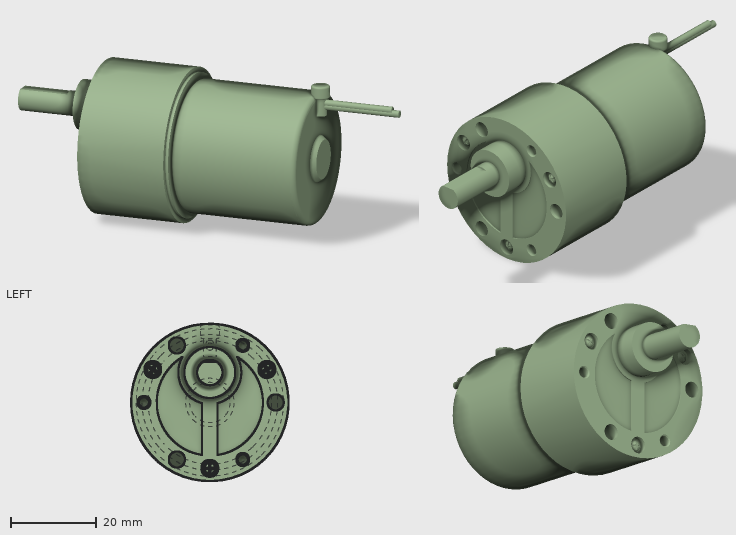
import cadquery as cq
import math


overall_length = 95.0

gearbox_diameter = 37.0
gearbox_length = 21.7
step_diameter = 34.7
step_length = 0.8
motor_diameter = 31.9
motor_length = 31.25
motor_front_fillet = 1.4
motor_rear_fillet = 1.2
motor_front = gearbox_length + step_length
motor_rear = motor_front + motor_length

bearing_base_diameter = 11.4
bearing_top_diameter = 9.5
bearing_height = 1.2

shaft_offset = 7.0
shaft_diameter = 6.0
shaft_reach = 20.9
flat_length = 11.9
flat_depth = 0.5
boss_diameter = 12.0
boss_length = 6.0

relief_diameter = 25.0
relief_depth = 0.4
collar_diameter = 14.8
rib_width = 3.7

bolt_circle_radius = 15.5
plain_hole_angles = (60, 180, 300)
tapped_hole_angles = (0, 120, 240)
screw_angles = (30, 150, 270)
plain_hole_diameter = 3.8
plain_hole_depth = 6.0
tapped_mouth_diameter = 3.0
tapped_core_diameter = 2.5
tapped_depth = 6.0
drill_point_angle = 118.0

screw_recess_diameter = 4.0
screw_recess_depth = 1.5
screw_rim_diameter = 3.0
screw_rim_height = 0.3
screw_dome_diameter = 2.7
screw_dome_height = 0.8
screw_slot_width = 0.4
screw_slot_depth = 0.4

terminal_x = 54.1
button_diameter = 4.5
button_bottom = 15.0
button_top = 18.1
button_fillet = 0.5
stem_diameter = 3.0
stem_bottom = 10.8
core_diameter = 1.7
core_end_stagger = 1.8
upper_core_z = 13.9
lower_core_z = 13.1
lower_core_end = overall_length - shaft_reach
upper_core_end = lower_core_end - core_end_stagger


def x_cylinder(diameter, start, end, y=0.0, z=0.0):
    """Cylinder along X between two X positions."""
    return cq.Workplane("YZ", origin=(start, y, z)).circle(diameter / 2).extrude(end - start)


def z_cylinder(diameter, x, bottom, top):
    """Cylinder along Z between two heights."""
    return cq.Workplane("XY", origin=(x, 0, bottom)).circle(diameter / 2).extrude(top - bottom)


def x_cone(start_diameter, end_diameter, start, end, y=0.0, z=0.0):
    """Cone or truncated cone along X."""
    solid = cq.Solid.makeCone(
        start_diameter / 2, end_diameter / 2, end - start, cq.Vector(start, y, z), cq.Vector(1, 0, 0)
    )
    return cq.Workplane(solid)


def on_bolt_circle(angle):
    """Y and Z of a bolt circle position, the angle measured from +Y toward +Z."""
    a = math.radians(angle)
    return bolt_circle_radius * math.cos(a), bolt_circle_radius * math.sin(a)


def make_motor():
    """Rounded can with the bearing cap on its rear face."""
    can = x_cylinder(motor_diameter, motor_front, motor_rear)
    can = can.faces("<X").edges().fillet(motor_front_fillet)
    can = can.faces(">X").edges().fillet(motor_rear_fillet)
    bearing = x_cone(
        bearing_base_diameter, bearing_top_diameter, motor_rear, motor_rear + bearing_height
    )
    return can.union(bearing)


def make_shaft():
    """Output shaft with a flat on top of its free end."""
    shaft = x_cylinder(shaft_diameter, -shaft_reach, 0, z=shaft_offset)
    flat = cq.Workplane("XY").box(flat_length, shaft_diameter, flat_depth, centered=(False, True, False))
    flat_bottom = shaft_offset + shaft_diameter / 2 - flat_depth
    return shaft.cut(flat.translate((-shaft_reach, 0, flat_bottom)))


def make_relief():
    """Material removed from the mounting face around the boss collar and the rib."""
    relief = x_cylinder(relief_diameter, 0, relief_depth)
    collar = x_cylinder(collar_diameter, 0, relief_depth, z=shaft_offset)
    rib_length = shaft_offset + relief_diameter / 2
    rib = cq.Workplane("XY").box(relief_depth, rib_width, rib_length, centered=(False, True, False))
    rib = rib.translate((0, 0, -relief_diameter / 2))
    return relief.cut(collar).cut(rib)


def make_tapped_hole(y, z):
    """Drilled hole with a chamfered mouth and a conical drill point."""
    chamfer = (tapped_mouth_diameter - tapped_core_diameter) / 2
    point = tapped_core_diameter / 2 / math.tan(math.radians(drill_point_angle / 2))
    mouth = x_cone(tapped_mouth_diameter, tapped_core_diameter, 0, chamfer, y, z)
    core = x_cylinder(tapped_core_diameter, 0, tapped_depth, y, z)
    tip = x_cone(tapped_core_diameter, 0, tapped_depth, tapped_depth + point, y, z)
    return core.union(mouth).union(tip)


def make_screw_head(angle):
    """Domed head standing on the recess floor, its cross turned to the bolt circle."""
    rim_face = screw_recess_depth - screw_rim_height
    dome_peak = rim_face - screw_dome_height
    dome_radius = screw_dome_diameter / 2
    sphere_radius = (dome_radius**2 + screw_dome_height**2) / (2 * screw_dome_height)
    sphere_center = dome_peak + sphere_radius
    mid_angle = math.asin(dome_radius / sphere_radius) / 2
    mid_point = (
        sphere_center - sphere_radius * math.cos(mid_angle),
        sphere_radius * math.sin(mid_angle),
    )
    head = (
        cq.Workplane("XY")
        .moveTo(dome_peak, 0)
        .threePointArc(mid_point, (rim_face, dome_radius))
        .lineTo(rim_face, screw_rim_diameter / 2)
        .lineTo(screw_recess_depth, screw_rim_diameter / 2)
        .lineTo(screw_recess_depth, 0)
        .close()
        .revolve(360, (0, 0, 0), (1, 0, 0))
    )
    slot = cq.Workplane("XY").box(
        screw_slot_depth, screw_dome_diameter, screw_slot_width, centered=(False, True, True)
    )
    slot = slot.translate((dome_peak, 0, 0))
    for turn in (0, 90):
        head = head.cut(slot.rotate((0, 0, 0), (1, 0, 0), turn))
    y, z = on_bolt_circle(angle)
    return head.rotate((0, 0, 0), (1, 0, 0), angle).translate((0, y, z))


def make_gearbox():
    """Gearbox body with the relief, the holes and the screws in its mounting face."""
    body = x_cylinder(gearbox_diameter, 0, gearbox_length)
    body = body.union(x_cylinder(step_diameter, gearbox_length, motor_front))
    body = body.cut(make_relief())
    for angle in plain_hole_angles:
        body = body.cut(x_cylinder(plain_hole_diameter, 0, plain_hole_depth, *on_bolt_circle(angle)))
    for angle in tapped_hole_angles:
        body = body.cut(make_tapped_hole(*on_bolt_circle(angle)))
    for angle in screw_angles:
        body = body.cut(x_cylinder(screw_recess_diameter, 0, screw_recess_depth, *on_bolt_circle(angle)))
        body = body.union(make_screw_head(angle))
    return body


def make_terminal():
    """Rounded button and stem on the motor rim, with two merged cores toward +X."""
    button = z_cylinder(button_diameter, terminal_x, button_bottom, button_top)
    button = button.edges().fillet(button_fillet)
    stem = z_cylinder(stem_diameter, terminal_x, stem_bottom, button_bottom + button_fillet)
    terminal = button.union(stem)
    for z, end in ((upper_core_z, upper_core_end), (lower_core_z, lower_core_end)):
        terminal = terminal.union(x_cylinder(core_diameter, terminal_x, end, z=z))
    return terminal


boss = x_cylinder(boss_diameter, -boss_length, 0, z=shaft_offset)
result = make_gearbox().union(make_motor()).union(boss).union(make_shaft()).union(make_terminal())